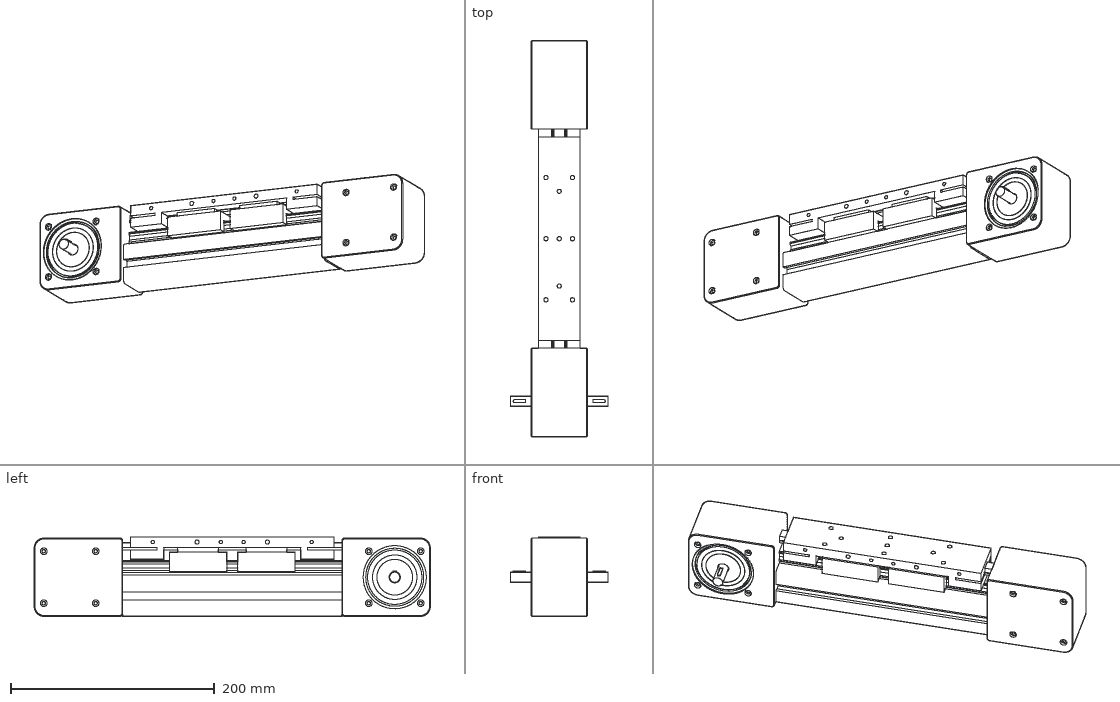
import cadquery as cq


axis_length = 389.0
housing_length = 87.0
housing_width = 55.0
housing_height = 77.0
profile_length = axis_length - 2 * housing_length
profile_width = 41.0
overall_width = 96.0
top_height = 78.0

outer_corner_radius = 10.0
inner_corner_radius = 3.0
side_edge_chamfer = 0.8
pulley_to_end = 35.0
pulley_y = axis_length / 2 - pulley_to_end
pulley_z = housing_height / 2
screw_spacing = 51.0
screw_head_diameter = 6.5
screw_hole_depth = 8.0
screw_hole_diameter = 3.24
screw_head_depth = 3.0

seat_diameter = 62.0
seat_depth = 1.5
seal_outer_diameter = 57.0
seal_inner_diameter = 53.36
seal_depth = 4.0
ring_diameter = 43.64
hub_diameter = 35.0
ring_depth = 2.0
shaft_diameter = 10.0
shaft_gap_diameter = 11.0
shaft_gap_depth = 4.0
key_width = 3.0
key_length = 12.0
key_end_gap = 2.8
key_rise = 1.0

profile_height = 40.5
profile_edge_radius = 3.5
slot_center_z = 20.0
slot_width = 8.2
slot_lip = 3.2
slot_cavity_width = 16.0
slot_cavity_step = 1.5
slot_depth = 8.0
rail_seat_width = 14.0
rail_bottom_z = 43.0
rail_width = 15.0
rail_waist_width = 11.0
rail_top_z = 55.0
rail_edge_chamfer = 0.8
rail_base_top_z = 45.0
rail_waist_bottom_z = 47.6
rail_waist_top_z = 51.3
rail_head_bottom_z = 53.2

carriage_length = 200.0
carriage_width = profile_width
plate_bottom_z = 67.5
leg_length = 33.0
leg_bottom_z = 56.0
clamp_slot_length = 26.0
runner_y = 33.5
runner_length = 56.5
runner_width = 34.0
runner_bottom_z = 44.0
runner_top_z = 63.0
runner_neck_length = 40.0
runner_neck_width = 26.0
rail_clearance = 0.5

thread_diameter = 4.13
top_pin_diameter = 4.0
top_hole_depth = 5.0
top_hole_x = 13.0
top_hole_y = 60.0
top_pin_y = 46.5
side_thread_diameter = 3.24
side_pin_diameter = 4.0
side_hole_depth = 10.0
side_hole_z = 73.0
side_thread_ys = (11.2, 78.0)
side_pin_y = 34.5

belt_width = 10.0
belt_tooth_width = 12.0
belt_bottom_z = 65.2
belt_top_z = 72.5


def block(width, length, bottom_z, top_z, x=0.0, y=0.0):
    """Box centred on (x, y) between two heights."""
    height = top_z - bottom_z
    return cq.Workplane("XY").box(width, length, height).translate((x, y, bottom_z + height / 2))


def cross_cylinder(diameter, x_start, x_end, y, z):
    """Cylinder along X between two X positions."""
    cylinder = cq.Workplane("YZ").circle(diameter / 2).extrude(x_end - x_start)
    return cylinder.translate((x_start, y, z))


def side_ring(outer_diameter, inner_diameter, depth, side, y, z):
    """Ring, or full disc if the inner diameter is 0, reaching inward from the +X or -X housing face."""
    ring = cq.Workplane("YZ").circle(outer_diameter / 2)
    if inner_diameter > 0:
        ring = ring.circle(inner_diameter / 2)
    return ring.extrude(-side * depth).translate((side * housing_width / 2, y, z))


def make_end_housing(end):
    """Rounded housing at the +Y (end = 1) or -Y (end = -1) end, with its side screw recesses."""
    center_y = end * (axis_length - housing_length) / 2
    outer_edges = ">Y" if end > 0 else "<Y"
    inner_edges = "<Y" if end > 0 else ">Y"
    housing = block(housing_width, housing_length, 0, housing_height, y=center_y)
    housing = housing.faces(outer_edges).edges("|X").fillet(outer_corner_radius)
    housing = housing.faces(inner_edges).edges("|X").fillet(inner_corner_radius)
    housing = housing.faces("<X or >X").edges().chamfer(side_edge_chamfer)
    for side in (-1, 1):
        for dy in (-screw_spacing / 2, screw_spacing / 2):
            for dz in (-screw_spacing / 2, screw_spacing / 2):
                y = end * pulley_y + dy
                z = pulley_z + dz
                housing = housing.cut(side_ring(screw_head_diameter, 0, screw_head_depth, side, y, z))
                housing = housing.cut(side_ring(screw_hole_diameter, 0, screw_hole_depth, side, y, z))
    return housing


def make_key(side):
    """Shaft key with a round outer end, standing proud of the top of the shaft."""
    outer_x = overall_width / 2 - key_end_gap
    inner_x = outer_x - key_length
    round_center_x = outer_x - key_width / 2
    key = (
        cq.Workplane("XY")
        .moveTo(side * inner_x, -key_width / 2)
        .lineTo(side * round_center_x, -key_width / 2)
        .threePointArc((side * outer_x, 0), (side * round_center_x, key_width / 2))
        .lineTo(side * inner_x, key_width / 2)
        .close()
        .extrude(shaft_diameter / 2 + key_rise)
    )
    return key.translate((0, -pulley_y, pulley_z))


def make_drive_housing():
    """Housing at the -Y end with bearing faces on both sides and a keyed through shaft."""
    housing = make_end_housing(-1)
    for side in (-1, 1):
        place = (side, -pulley_y, pulley_z)
        housing = housing.cut(side_ring(seat_diameter, 0, seat_depth, *place))
        housing = housing.cut(side_ring(seal_outer_diameter, seal_inner_diameter, seal_depth, *place))
        housing = housing.cut(side_ring(ring_diameter, hub_diameter, ring_depth, *place))
        housing = housing.cut(side_ring(shaft_gap_diameter, 0, shaft_gap_depth, *place))
    half_width = overall_width / 2
    housing = housing.union(cross_cylinder(shaft_diameter, -half_width, half_width, -pulley_y, pulley_z))
    for side in (-1, 1):
        housing = housing.union(make_key(side))
    return housing


def make_side_slot(side):
    """T-slot along one side of the profile, with a cavity that tapers toward its back."""
    mouth = slot_width / 2
    cavity = slot_cavity_width / 2
    upper_half = [
        (0, mouth),
        (slot_lip, mouth),
        (slot_lip, cavity),
        (slot_lip + slot_cavity_step, cavity),
        (slot_depth, mouth),
    ]
    lower_half = [(depth, -height) for depth, height in reversed(upper_half)]
    outline = [
        (side * (profile_width / 2 - depth), slot_center_z + height)
        for depth, height in upper_half + lower_half
    ]
    return cq.Workplane("XZ").polyline(outline).close().extrude(profile_length / 2, both=True)


def make_profile():
    """Slotted extrusion between the housings, with the guide rail on top."""
    body = block(profile_width, profile_length, 0, profile_height).edges("|Y").fillet(profile_edge_radius)
    for side in (-1, 1):
        body = body.cut(make_side_slot(side))
    body = body.union(block(rail_seat_width, profile_length, profile_height, rail_bottom_z))
    half = rail_width / 2
    waist = rail_waist_width / 2
    right_side = [
        (half, rail_bottom_z),
        (half, rail_base_top_z),
        (waist, rail_waist_bottom_z),
        (waist, rail_waist_top_z),
        (half, rail_head_bottom_z),
        (half, rail_top_z - rail_edge_chamfer),
        (half - rail_edge_chamfer, rail_top_z),
    ]
    left_side = [(-x, z) for x, z in reversed(right_side)]
    rail = cq.Workplane("XZ").polyline(right_side + left_side).close().extrude(profile_length / 2, both=True)
    return body.union(rail)


def make_belt():
    """Straight belt run from housing to housing: a wide tooth layer under a narrower back."""
    teeth = block(belt_tooth_width, profile_length, belt_bottom_z, plate_bottom_z)
    back = block(belt_width, profile_length, plate_bottom_z, belt_top_z)
    return teeth.union(back)


def cut_top_holes(carriage):
    """Carriage with its mounting and dowel holes in the top face."""
    threads = [(x, y) for x in (-top_hole_x, top_hole_x) for y in (-top_hole_y, 0, top_hole_y)]
    threads.append((0, 0))
    pins = [(0, -top_pin_y), (0, top_pin_y)]
    for points, diameter in ((threads, thread_diameter), (pins, top_pin_diameter)):
        holes = cq.Workplane("XY").workplane(offset=top_height).pushPoints(points)
        carriage = carriage.cut(holes.circle(diameter / 2).extrude(-top_hole_depth))
    return carriage


def cut_side_holes(carriage):
    """Carriage with its mounting and dowel holes in both side faces."""
    face_x = carriage_width / 2
    holes = [(y, side_thread_diameter) for y in side_thread_ys]
    holes.append((side_pin_y, side_pin_diameter))
    for y, diameter in holes:
        for hole_y in (-y, y):
            for x_start in (-face_x, face_x - side_hole_depth):
                x_end = x_start + side_hole_depth
                carriage = carriage.cut(cross_cylinder(diameter, x_start, x_end, hole_y, side_hole_z))
    return carriage


def make_carriage(belt):
    """Carriage plate with clamping legs and two runner blocks that straddle the rail."""
    carriage = block(carriage_width, carriage_length, plate_bottom_z, top_height)
    rail_channel_width = rail_width + 2 * rail_clearance
    for end in (-1, 1):
        leg_y = end * (carriage_length - leg_length) / 2
        carriage = carriage.union(block(carriage_width, leg_length, leg_bottom_z, plate_bottom_z, y=leg_y))
        slot_y = end * (carriage_length - clamp_slot_length) / 2
        carriage = carriage.cut(block(
            carriage_width, clamp_slot_length, belt_bottom_z, plate_bottom_z, y=slot_y))
        runner = block(runner_width, runner_length, runner_bottom_z, runner_top_z, y=end * runner_y)
        neck = block(runner_neck_width, runner_neck_length, runner_top_z, plate_bottom_z, y=end * runner_y)
        channel = block(
            rail_channel_width, runner_length, runner_bottom_z, rail_top_z + rail_clearance, y=end * runner_y)
        carriage = carriage.union(neck).union(runner.cut(channel))
    carriage = cut_top_holes(carriage)
    carriage = cut_side_holes(carriage)
    return carriage.cut(belt)


drive_housing = make_drive_housing()
idler_housing = make_end_housing(1)
profile = make_profile()
belt = make_belt()
carriage = make_carriage(belt)

result = cq.Compound.makeCompound([
    drive_housing.val(),
    idler_housing.val(),
    profile.val(),
    belt.val(),
    carriage.val(),
])